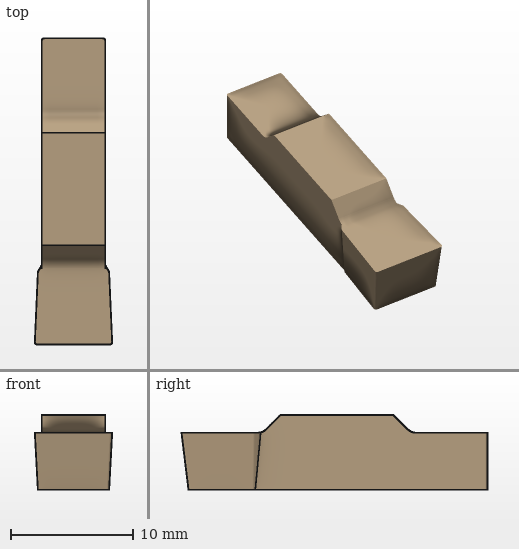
import cadquery as cq
import math

length = 25.05
height = 6.14
ledge_height = 4.68
back_y = length / 2
front_y = -length / 2

shank_width = 5.2
shank_front_y = -8.77
block_center_y = 0.2
block_top_length = 9.22
ramp_rise = height - ledge_height
ramp_foot_radius = 1.0
back_corner_radius = 0.2

head_front_width = 6.36
side_taper = 2.5
side_relief = 2.7
front_relief = 7.0
shoulder_angle = 30.0
shoulder_end_y = -6.04
shoulder_overlap = 0.5
nose_corner_radius = 0.2
shoulder_corner_radius = 0.3


def tan_deg(angle):
    return math.tan(math.radians(angle))


def make_shank():
    half_block = block_top_length / 2
    half_foot = half_block + ramp_rise
    front_foot_y = block_center_y - half_foot
    back_foot_y = block_center_y + half_foot
    profile = [
        (shank_front_y, 0),
        (back_y, 0),
        (back_y, ledge_height),
        (back_foot_y, ledge_height),
        (block_center_y + half_block, height),
        (block_center_y - half_block, height),
        (front_foot_y, ledge_height),
        (shank_front_y, ledge_height),
    ]
    shank = cq.Workplane("YZ").polyline(profile).close().extrude(shank_width / 2, both=True)
    for foot_y in (front_foot_y, back_foot_y):
        foot_edge = cq.selectors.NearestToPointSelector((0, foot_y, ledge_height))
        shank = shank.edges(foot_edge).fillet(ramp_foot_radius)
    return shank.faces(">Y").edges("|Z").fillet(back_corner_radius)


def head_outline(depth):
    """Sharp-cornered head outline at a given depth below the ledge."""
    inset = depth * tan_deg(side_relief)
    nose_y = front_y + depth * tan_deg(front_relief)
    taper = tan_deg(side_taper)
    shoulder = tan_deg(shoulder_angle)

    join_x = shank_width / 2
    join_y = shoulder_end_y - inset / math.sin(math.radians(shoulder_angle))

    front_half = head_front_width / 2 - inset
    nose_half = front_half - taper * (nose_y - front_y)
    corner_y = (front_half + taper * front_y - join_x - shoulder * join_y) / (taper - shoulder)
    corner_half = front_half - taper * (corner_y - front_y)
    inner_half = join_x - shoulder_overlap
    inner_y = join_y + shoulder_overlap / shoulder

    right = [(nose_half, nose_y), (corner_half, corner_y), (inner_half, inner_y)]
    left = [(-x, y) for x, y in reversed(right)]
    return right + left


def make_head():
    head = (
        cq.Workplane("XY")
        .polyline(head_outline(ledge_height)).close()
        .workplane(offset=ledge_height)
        .polyline(head_outline(0)).close()
        .loft(ruled=True)
    )
    mid_depth = ledge_height / 2
    nose, corner, _, _, left_corner, left_nose = head_outline(mid_depth)
    for corners, radius in (
        ((nose, left_nose), nose_corner_radius),
        ((corner, left_corner), shoulder_corner_radius),
    ):
        for x, y in corners:
            upright_edge = cq.selectors.NearestToPointSelector((x, y, mid_depth))
            head = head.edges(upright_edge).fillet(radius)
    return head


result = make_shank().union(make_head())